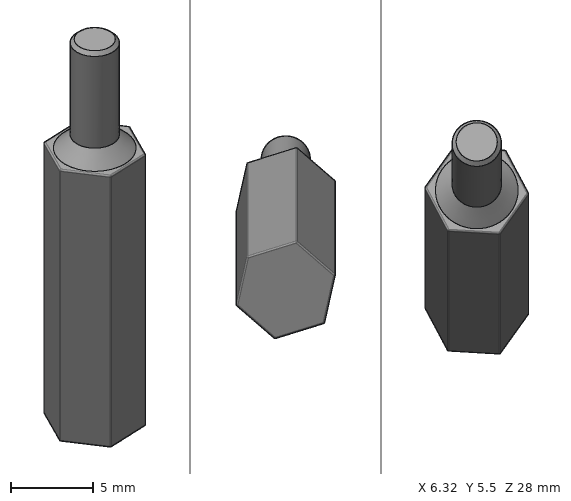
import cadquery as cq
import math

total_length = 28.0
hex_length = 20.0
across_flats = 5.5
hex_edge_radius = 0.1
collar_height = 1.0
collar_diameter = 5.0
stud_diameter = 3.0
stud_chamfer = 0.25

across_corners = across_flats / math.cos(math.radians(30))
stud_length = total_length - hex_length - collar_height


def make_hex_body():
    """Hexagonal post with corners along X and all its edges slightly rounded."""
    prism = cq.Workplane("XY").polygon(6, across_corners).extrude(hex_length)
    return prism.edges().fillet(hex_edge_radius)


def make_collar():
    """Cone that tapers from the hexagonal post down to the stud."""
    return (
        cq.Workplane("XY", origin=(0, 0, hex_length))
        .circle(collar_diameter / 2)
        .workplane(offset=collar_height)
        .circle(stud_diameter / 2)
        .loft()
    )


def make_stud():
    """Round stud with a chamfered tip."""
    stud = (
        cq.Workplane("XY", origin=(0, 0, hex_length + collar_height))
        .circle(stud_diameter / 2)
        .extrude(stud_length)
    )
    return stud.faces(">Z").edges().chamfer(stud_chamfer)


result = make_hex_body().union(make_collar()).union(make_stud())